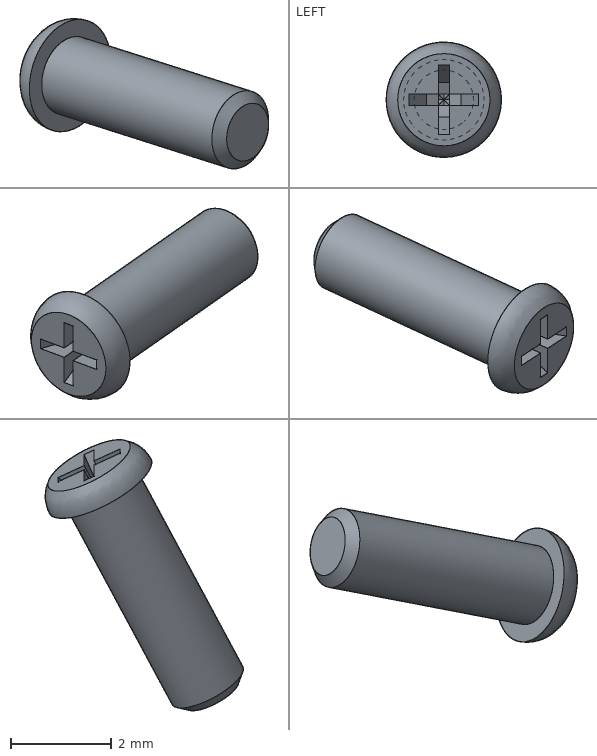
import cadquery as cq
import math

total_length = 5.5
head_diameter = 2.3
head_height = 0.5
head_face_diameter = 1.835
shank_diameter = 1.6
tip_chamfer = 0.21

recess_span = 1.385
recess_floor_span = 0.68
recess_arm_width = 0.22
recess_wall_depth = 0.76
recess_tip_depth = 0.88

head_radius = head_diameter / 2
face_radius = head_face_diameter / 2
shank_radius = shank_diameter / 2


def make_screw_body():
    """Revolve the half profile of the domed head and the chamfered shank."""
    drop = head_radius - face_radius
    dome_radius = (head_height**2 + drop**2) / (2 * drop)
    middle_angle = math.asin(head_height / dome_radius) / 2
    dome_middle = (
        head_height - dome_radius * math.sin(middle_angle),
        head_radius - dome_radius * (1 - math.cos(middle_angle)),
    )
    profile = (
        cq.Workplane("XY")
        .lineTo(0, face_radius)
        .threePointArc(dome_middle, (head_height, head_radius))
        .lineTo(head_height, shank_radius)
        .lineTo(total_length - tip_chamfer, shank_radius)
        .lineTo(total_length, shank_radius - tip_chamfer)
        .lineTo(total_length, 0)
        .close()
    )
    return profile.revolve(360, (0, 0, 0), (1, 0, 0))


def make_recess_arm():
    """Pointed prism that cuts one bar of the cross, running along Y."""
    outline = [
        (0, -recess_span / 2),
        (recess_wall_depth, -recess_floor_span / 2),
        (recess_tip_depth, 0),
        (recess_wall_depth, recess_floor_span / 2),
        (0, recess_span / 2),
    ]
    return cq.Workplane("XY").polyline(outline).close().extrude(recess_arm_width / 2, both=True)


result = make_screw_body()
for arm_angle in (0, 90):
    result = result.cut(make_recess_arm().rotate((0, 0, 0), (1, 0, 0), arm_angle))